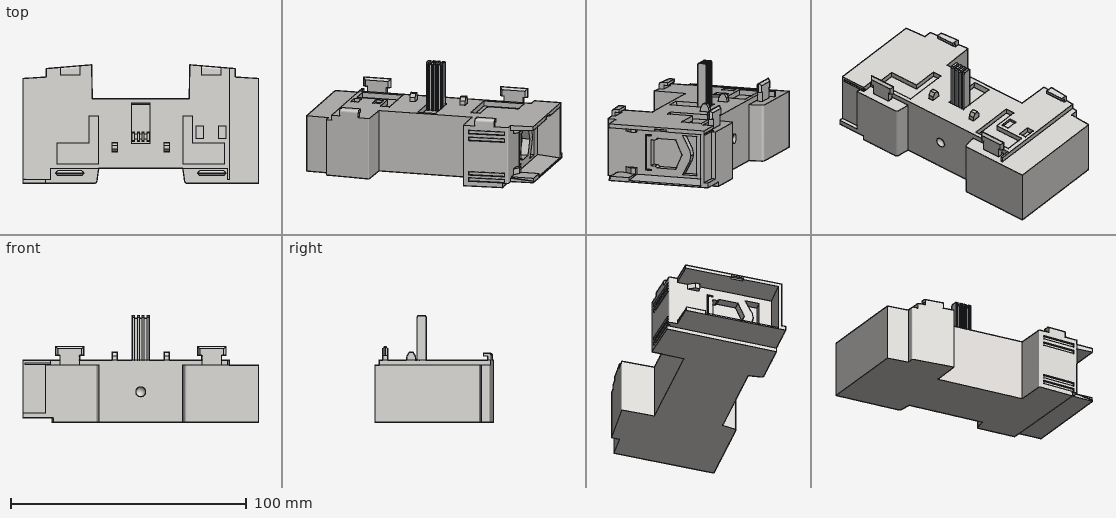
import cadquery as cq
half_length = 50.0
shoulder_z = 24.3
deck_z = 26.5
shell = deck_z - shoulder_z
body_front_y = 6.4
skin_y = 1.75
back_mid_y = 36.0
end_wall_x = -40.2
plate_z = 1.9
blade_top_z = 45.3

rear_end_y = 44.6
rear_step_low_y = 45.2
rear_step_x = -end_wall_x
rear_step_y = 48.8
rear_tip_x = 20.8
rear_tip_y = 50.4
rear_notch_x = 20.5
rear_slope = (rear_tip_y - rear_step_y) / (rear_step_x - rear_tip_x)
step_round = 0.6
tip_round = 0.1

foot_root_x = 17.8
foot_toe_x = 18.7
foot_round = 1.2

deck_right_x = 37.65
deck_notch_left_x = -38.3
deck_notch_right_x = 36.8

box_front_y = 3.3
ceiling_edge_z = 24.8
floor_edge_z = 2.6
floor_root_z = 3.4
ledge_z = 3.8
ledge_y = (35.7, 44.2)
edge_notch_y = (18.9, 24.2)
edge_notch_z = 25.6
edge_notch_depth = 1.0
panel_right_x = -40.5
panel_bottom_z = 4.0
base_left_x = -37.7
foot_left_x = -37.1

slit_left_x = -49.1
slit_z = (24.5, 25.2)
slit_depth = 1.0

wedge_y = (35.7, 37.6, 40.7)
wedge_depth = 1.8
wedge_height = 2.5
pocket_depth = 3.4
mid_z = 13.15
bracket_y = (29.3, 31.8)
bracket_half_height = 7.7
bracket_width = 0.4
bracket_depth = 0.5

rear_slot_x = (-38.5, -23.0)
rear_slot_depth = 1.0
rear_slot_height = 1.5
rear_slot_bottoms = (2.1, 4.8, 19.9, 22.9)

elbow_x = (17.9, 22.0, 35.6)
elbow_y = (8.2, 17.2, 28.6)
blade_pocket_half = 3.9
blade_pocket_y = (16.9, 34.2)
blade_pocket_bevel = 0.6
window_y = (19.0, 24.3)
windows = ((23.4, 26.7, 1.0), (33.0, 36.2, shell))

blade_y = (17.8, 21.9)
blade_width = 1.05
blade_centers = (-3.1, -0.95, 0.95, 3.1)
blade_chamfer_y = 0.5
blade_chamfer_z = 0.7
blade_bevel = 0.3
web_y = (18.8, 20.9)
web_top_z = 44.3
peg_x = 11.05
peg_width = 2.3
peg_mid_y = 15.4
peg_profile = ((2.0, deck_z), (1.8, 28.2), (0.8, 29.8))
dimple_radius = 2.1
dimple_z = 13.0

clip_x = 30.15
clip_y = (3.3, 5.5)
clip_stem_width = 8.3
clip_head_width = 12.1
clip_head_z = (28.5, 32.3)
clip_bevel = 1.0

hook_x = (25.7, 34.1)
hook_tip_y = 46.1
hook_wall_y = 47.8
hook_z = (28.1, 29.4)
hook_round = 1.2


def block(x, y, z):
    """Box between pairs of X, Y and Z limits."""
    size = (x[1] - x[0], y[1] - y[0], z[1] - z[0])
    return cq.Workplane("XY").box(*size, centered=False).translate((x[0], y[0], z[0]))


def prism(points, z):
    """Plan outline extruded between two heights."""
    return cq.Workplane("XY").workplane(offset=z[0]).polyline(points).close().extrude(z[1] - z[0])


def along_x(points, x):
    """Outline in (Y, Z) extruded between two X limits."""
    return cq.Workplane("YZ").workplane(offset=x[0]).polyline(points).close().extrude(x[1] - x[0])


def mirrored(solid):
    """The solid together with its mirror image about X = 0."""
    return solid.union(solid.mirror("YZ"))


def rear_y(x):
    """Y of the sloped rear face at a distance x from the middle."""
    return rear_step_y + rear_slope * (rear_step_x - x)


def half_body(top_z):
    """Right half of the housing without the front foot."""
    outline = [
        (0, body_front_y),
        (half_length, body_front_y),
        (half_length, rear_end_y),
        (rear_step_x, rear_step_low_y),
        (rear_step_x, rear_step_y),
        (rear_tip_x, rear_tip_y),
        (rear_notch_x, back_mid_y),
        (0, back_mid_y),
    ]
    body = prism(outline, (0, top_z))
    for x, y, radius in ((rear_step_x, rear_step_y, step_round), (rear_tip_x, rear_tip_y, tip_round)):
        body = body.edges(cq.selectors.NearestToPointSelector((x, y, top_z / 2))).fillet(radius)
    return body


def half_foot():
    """Right front foot, with its inner corner rounded."""
    outline = [
        (foot_root_x, body_front_y),
        (foot_toe_x, 0),
        (half_length, 0),
        (half_length, body_front_y),
    ]
    foot = prism(outline, (0, shoulder_z))
    toe = cq.selectors.NearestToPointSelector((foot_toe_x, 0, shoulder_z / 2))
    return foot.edges(toe).fillet(foot_round)


def housing():
    """Symmetric body with the low right end and the deck ends that reach forward."""
    body = mirrored(half_body(deck_z)).union(mirrored(half_foot()))
    body = body.cut(block((deck_right_x, half_length), (0, rear_tip_y), (shoulder_z, deck_z)))
    for x in ((-half_length, deck_notch_left_x), (deck_notch_right_x, deck_right_x)):
        body = body.union(block(x, (skin_y, body_front_y), (shoulder_z, deck_z)))
    return body


def open_box_cuts():
    """Everything removed from the left end around the open box."""
    outer = -half_length
    rear = rear_tip_y
    cavity_profile = [
        (outer, floor_edge_z),
        (end_wall_x, floor_root_z),
        (end_wall_x, shoulder_z),
        (outer, ceiling_edge_z),
    ]
    cavity = cq.Workplane("XZ").polyline(cavity_profile).close().extrude(box_front_y - rear)
    cavity = cavity.translate((0, box_front_y, 0))
    base_end = [(outer, 0), (foot_left_x, 0), (base_left_x, rear), (outer, rear)]
    cuts = prism(base_end, (0, plate_z))
    cuts = cuts.union(block((outer, panel_right_x), (0, skin_y), (panel_bottom_z, shoulder_z)))
    cuts = cuts.union(block((slit_left_x, deck_notch_left_x), (skin_y, skin_y + slit_depth), slit_z))
    notch_x = (outer, outer + edge_notch_depth)
    cuts = cuts.union(block(notch_x, edge_notch_y, (shoulder_z, edge_notch_z)))
    return cuts.union(cavity)


def ledge():
    """Raised part of the box floor at the rear."""
    return block((-half_length, end_wall_x), ledge_y, (plate_z, ledge_z))


def wedges():
    """Two latching wedges on the end wall, against the floor and the ceiling."""
    outline = [
        (end_wall_x, wedge_y[0]),
        (end_wall_x - wedge_depth, wedge_y[0]),
        (end_wall_x - wedge_depth, wedge_y[1]),
        (end_wall_x, wedge_y[2]),
    ]
    lower = prism(outline, (ledge_z, ledge_z + wedge_height))
    return lower.union(prism(outline, (shoulder_z - wedge_height, deck_z - shell / 2)))


def end_wall_pockets():
    """Arrow-shaped pocket, chevron pocket and bracket groove in the end wall."""
    arrow_upper = [(29.3, 5.6), (27.4, 5.6), (26.5, 6.4), (18.2, 6.4)]
    arrow = arrow_upper + [(15.3, 0)] + [(y, -z) for y, z in reversed(arrow_upper)]
    chevron_upper = [(8.7, 8.5), (15.0, 8.5), (11.8, 2.4)]
    chevron = chevron_upper + [(11.3, 0)] + [(y, -z) for y, z in reversed(chevron_upper)]
    pockets = cq.Workplane("XY")
    for outline in (arrow, chevron):
        points = [(y, mid_z + z) for y, z in outline]
        pockets = pockets.union(along_x(points, (end_wall_x, end_wall_x + pocket_depth)))
    groove_x = (end_wall_x, end_wall_x + bracket_depth)
    z_low = mid_z - bracket_half_height
    z_high = mid_z + bracket_half_height
    groove = block(groove_x, bracket_y, (z_low, z_high))
    inner_y = (bracket_y[0], bracket_y[1] - bracket_width)
    groove = groove.cut(block(groove_x, inner_y, (z_low + bracket_width, z_high - bracket_width)))
    return pockets.union(groove)


def rear_slots():
    """Four shallow slots that follow the sloped left rear face."""
    left, right = rear_slot_x
    outline = [
        (left, rear_y(-left) - rear_slot_depth),
        (right, rear_y(-right) - rear_slot_depth),
        (right, rear_y(-right)),
        (left, rear_y(-left)),
    ]
    slots = cq.Workplane("XY")
    for bottom in rear_slot_bottoms:
        slots = slots.union(prism(outline, (bottom, bottom + rear_slot_height)))
    return slots


def deck_pockets():
    """Elbow pockets, blade pocket and two windows in the deck."""
    floor_to_top = (shoulder_z, deck_z)
    elbow = block((elbow_x[0], elbow_x[2]), (elbow_y[0], elbow_y[1]), floor_to_top)
    elbow = elbow.union(block((elbow_x[0], elbow_x[1]), (elbow_y[1], elbow_y[2]), floor_to_top))
    pockets = mirrored(elbow)
    front, rear = blade_pocket_y
    blade_profile = [
        (front, deck_z),
        (front, shoulder_z),
        (rear - blade_pocket_bevel, shoulder_z),
        (rear, deck_z),
    ]
    pockets = pockets.union(along_x(blade_profile, (-blade_pocket_half, blade_pocket_half)))
    for left, right, depth in windows:
        pockets = pockets.union(block((left, right), window_y, (deck_z - depth, deck_z)))
    return pockets


def blades():
    """Four terminal blades joined by a slightly lower web."""
    front, rear = blade_y
    low_z = blade_top_z - blade_chamfer_z
    outline = [
        (front, shoulder_z),
        (front, low_z),
        (front + blade_chamfer_y, blade_top_z),
        (rear - blade_chamfer_y, blade_top_z),
        (rear, low_z),
        (rear, shoulder_z),
    ]
    stack = block((blade_centers[0], blade_centers[-1]), web_y, (shoulder_z, web_top_z))
    for center in blade_centers:
        blade = along_x(outline, (center - blade_width / 2, center + blade_width / 2))
        stack = stack.union(blade.faces(">Y").edges("|Z").chamfer(blade_bevel))
    return stack


def pegs():
    """Two tapered locating pegs beside the blades."""
    front_side = [(peg_mid_y - half, z) for half, z in peg_profile]
    rear_side = [(peg_mid_y + half, z) for half, z in reversed(peg_profile)]
    return mirrored(along_x(front_side + rear_side, (peg_x - peg_width / 2, peg_x + peg_width / 2)))


def clips():
    """Two T-shaped clips standing on the front feet."""
    stem_x = (clip_x - clip_stem_width / 2, clip_x + clip_stem_width / 2)
    head_x = (clip_x - clip_head_width / 2, clip_x + clip_head_width / 2)
    head = block(head_x, clip_y, clip_head_z)
    head = head.faces("<Y or >Y").edges("|Z or >Z").chamfer(clip_bevel)
    return mirrored(head.union(block(stem_x, clip_y, (shoulder_z, clip_head_z[0]))))


def hooks():
    """Two hooks rising flush with the sloped rear faces and bending forward."""
    inner, outer = hook_x
    outline = [
        (inner, hook_tip_y),
        (outer, hook_tip_y),
        (outer, rear_y(outer)),
        (inner, rear_y(inner)),
    ]
    hook = prism(outline, (deck_z, hook_z[1]))
    hook = hook.faces(">Z").edges(">Y").fillet(hook_round)
    return mirrored(hook.cut(block(hook_x, (hook_tip_y, hook_wall_y), (deck_z, hook_z[0]))))


def dimple():
    """Round dimple in the middle of the front face."""
    return cq.Workplane("XY").sphere(dimple_radius).translate((0, body_front_y, dimple_z))


result = housing().cut(open_box_cuts()).union(ledge()).union(wedges())
for pocket in (end_wall_pockets(), rear_slots(), deck_pockets(), dimple()):
    result = result.cut(pocket)
for feature in (blades(), pegs(), clips(), hooks()):
    result = result.union(feature)